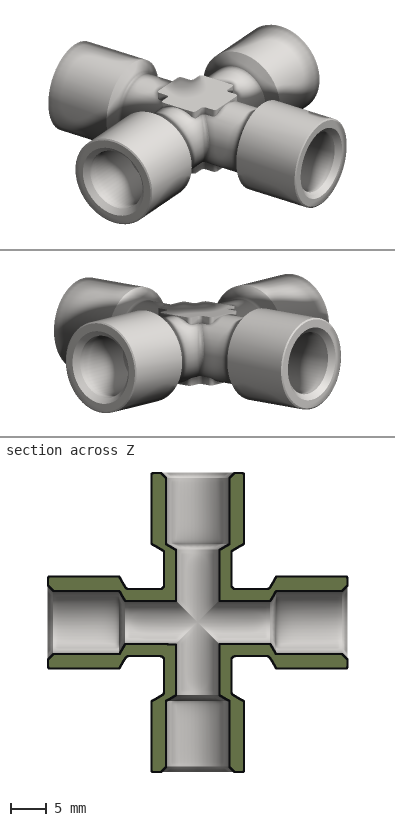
import cadquery as cq
import math

half_span = 21.0
socket_diameter = 13.0
socket_length = 10.0
rim_chamfer_radial = 0.2
rim_chamfer_axial = 0.13

neck_diameter = 9.5
shoulder_slope = math.radians(60.0)
shoulder_fillet = 0.5
crotch_fillet = 0.5

through_diameter = 6.0
socket_bore_diameter = 8.8
socket_bore_depth = socket_length
bore_floor_slope = math.radians(60.0)
mouth_diameter = 10.35
mouth_slope = math.radians(45.0)

pad_span = 10.0
pad_width = 5.7
pad_height = 9.8
pad_fillet = 0.5

EAST, NORTH, WEST, SOUTH = 0, 90, 180, 270


def cone_length(large_diameter, small_diameter, slope):
    """Axial length of a cone whose side makes the given slope with its axis."""
    return (large_diameter - small_diameter) / 2 / math.tan(slope)


def turned(body, turn):
    """Copy of a body turned about the Z axis."""
    return body.rotate((0, 0, 0), (0, 0, 1), turn)


def spun(outline):
    """Close an outline that ends on the X axis and spin it around that axis."""
    return outline.close().revolve(360, (0, 0, 0), (1, 0, 0))


neck_radius = neck_diameter / 2
shoulder_start = half_span - socket_length
shoulder_end = shoulder_start - cone_length(socket_diameter, neck_diameter, shoulder_slope)


def make_pad_block():
    """Upright prism with a plus-shaped section, rounded at every corner."""
    bar_x = cq.Workplane("XY").box(pad_span, pad_width, pad_height)
    bar_y = cq.Workplane("XY").box(pad_width, pad_span, pad_height)
    return bar_x.union(bar_y).edges("|Z").fillet(pad_fillet)


def make_centre():
    """Two crossing neck cylinders with the pad block, rounded in the crotches between the necks."""
    neck_x = spun(
        cq.Workplane("XZ")
        .moveTo(-shoulder_start, 0)
        .lineTo(-shoulder_start, neck_radius)
        .lineTo(shoulder_start, neck_radius)
        .lineTo(shoulder_start, 0)
    )
    centre = neck_x.union(turned(neck_x, NORTH)).union(make_pad_block())
    return centre.edges("%ELLIPSE").fillet(crotch_fillet)


def make_socket(filleted_shoulder):
    """Solid socket on the +X arm, from the foot of its shoulder to its rim."""
    socket_radius = socket_diameter / 2
    outline = cq.Workplane("XZ")
    if filleted_shoulder:
        arc_start = shoulder_end - shoulder_fillet * math.tan(shoulder_slope / 2)

        def arc_point(angle):
            rise = shoulder_fillet * (1 - math.cos(angle))
            return arc_start + shoulder_fillet * math.sin(angle), neck_radius + rise

        outline = outline.moveTo(arc_start, 0).lineTo(arc_start, neck_radius)
        outline = outline.threePointArc(arc_point(shoulder_slope / 2), arc_point(shoulder_slope))
    else:
        outline = outline.moveTo(shoulder_end, 0).lineTo(shoulder_end, neck_radius)
    return spun(
        outline.lineTo(shoulder_start, socket_radius)
        .lineTo(half_span - rim_chamfer_axial, socket_radius)
        .lineTo(half_span, socket_radius - rim_chamfer_radial)
        .lineTo(half_span, 0)
    )


def make_bore():
    """Cutter for the +X arm: through bore, conical floor, socket bore and flared mouth."""
    floor = half_span - socket_bore_depth
    floor_end = floor - cone_length(socket_bore_diameter, through_diameter, bore_floor_slope)
    mouth_start = half_span - cone_length(mouth_diameter, socket_bore_diameter, mouth_slope)
    outline = [
        (0, 0),
        (0, through_diameter / 2),
        (floor_end, through_diameter / 2),
        (floor, socket_bore_diameter / 2),
        (mouth_start, socket_bore_diameter / 2),
        (half_span, mouth_diameter / 2),
        (half_span, 0),
    ]
    return spun(cq.Workplane("XZ").polyline(outline))


result = make_centre()
for turn in (EAST, NORTH, WEST, SOUTH):
    result = result.union(turned(make_socket(turn != NORTH), turn))
for turn in (EAST, NORTH, WEST, SOUTH):
    result = result.cut(turned(make_bore(), turn))